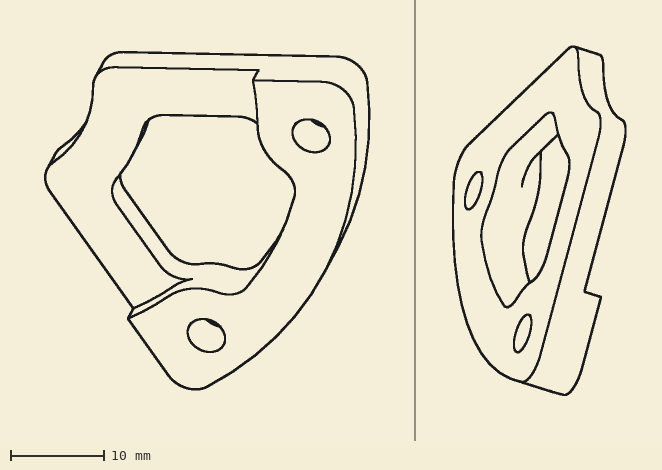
import cadquery as cq
import math

TOTAL_THICKNESS = 5.0
WEB_THICKNESS = 3.0

INNER_RADIUS = 15.0
OUTER_RADIUS = 45.0
SECTOR_ANGLE = 65.0
AXIS_ANGLE = -22.5
FRAME_WIDTH = 6.0
CORNER_RADIUS = 3.0

PITCH_RADIUS = 40.0
HOLE_SPACING_ANGLE = 45.0
HOLE_DIAMETER = 4.2
LUG_RADIUS = 6.0

WINDOW_INNER_RADIUS = INNER_RADIUS + FRAME_WIDTH
WINDOW_OUTER_RADIUS = OUTER_RADIUS - FRAME_WIDTH
POCKET_RADIUS = PITCH_RADIUS - LUG_RADIUS
POCKET_DEPTH = TOTAL_THICKNESS - WEB_THICKNESS
REACH = 2 * OUTER_RADIUS



def polar(radius, angle):
    """Point at the given radius and angle (degrees) from the symmetry axis."""
    radians = math.radians(angle)
    return radius * math.cos(radians), radius * math.sin(radians)


def hole_centers():
    half_spacing = HOLE_SPACING_ANGLE / 2
    return [polar(PITCH_RADIUS, angle) for angle in (-half_spacing, half_spacing)]


def disc(radius):
    return cq.Workplane("XZ").circle(radius).extrude(TOTAL_THICKNESS)


def discs_at_holes(radius):
    return cq.Workplane("XZ").pushPoints(hole_centers()).circle(radius).extrude(TOTAL_THICKNESS)


def wedge(angle, apex_x=0.0):
    """Wedge of the given full angle, opening along +X from its apex."""
    run, rise = polar(REACH, angle / 2)
    points = [(apex_x, 0), (apex_x + run, -rise), (apex_x + run, rise)]
    return cq.Workplane("XZ").polyline(points).close().extrude(TOTAL_THICKNESS)


def make_plate():
    """Full-thickness ring sector with rounded corners."""
    sector = wedge(SECTOR_ANGLE).intersect(disc(OUTER_RADIUS)).cut(disc(INNER_RADIUS))
    return sector.edges("|Y").fillet(CORNER_RADIUS)


def make_window():
    """Opening one frame width inside the outline, kept clear of the lugs."""
    apex_x = FRAME_WIDTH / math.sin(math.radians(SECTOR_ANGLE / 2))
    window = wedge(SECTOR_ANGLE, apex_x).intersect(disc(WINDOW_OUTER_RADIUS))
    window = window.cut(disc(WINDOW_INNER_RADIUS)).cut(discs_at_holes(LUG_RADIUS))
    return window.edges("|Y").fillet(CORNER_RADIUS)


def make_pocket():
    """Front recess, bounded by an arc that runs tangentially into the lugs."""
    between_lugs = wedge(HOLE_SPACING_ANGLE).intersect(disc(WINDOW_OUTER_RADIUS))
    between_lugs = between_lugs.cut(discs_at_holes(LUG_RADIUS))
    between_lugs = between_lugs.edges("|Y").edges(">X").fillet(CORNER_RADIUS)
    pocket = disc(POCKET_RADIUS).union(between_lugs)
    return pocket.translate((0, -WEB_THICKNESS, 0))


bracket = make_plate().cut(make_window()).cut(make_pocket())
bracket = bracket.cut(discs_at_holes(HOLE_DIAMETER / 2))

result = bracket.rotate((0, 0, 0), (0, 1, 0), -AXIS_ANGLE)